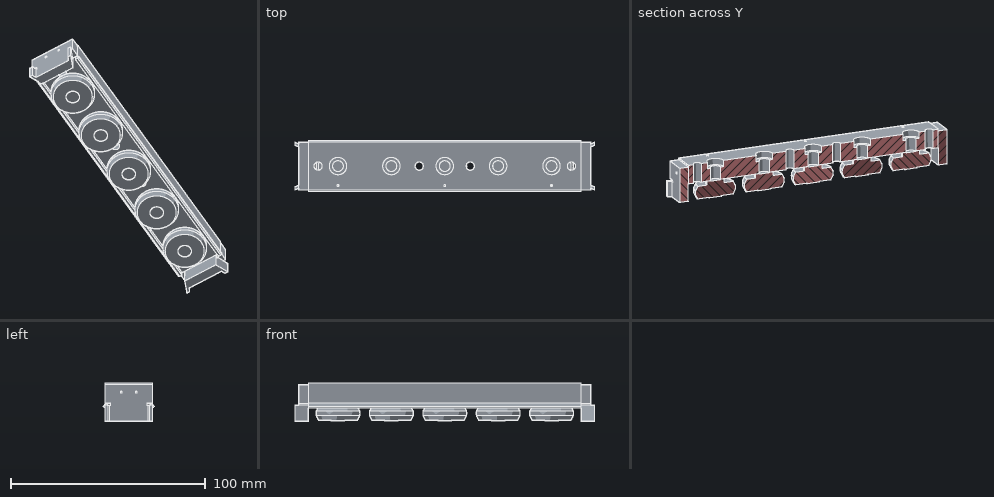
import cadquery as cq

LENGTH = 154.0
WIDTH = 26.3
TOP_Z = 19.7

BODY_LENGTH = 140.1
BODY_WIDTH = 24.6
BODY_BOTTOM_Z = 9.4
ROLLER_PITCH = 27.4
ROLLER_COUNT = 5
STUD_HOLE_DIAMETER = 5.5
COUNTERBORE_DIAMETER = 9.0
COUNTERBORE_DEPTH = 3.4
MOUNT_HOLE_DIAMETER = 4.2
INNER_MOUNT_X = 13.1
OUTER_MOUNT_X = 65.0
SMALL_HOLE_DIAMETER = 1.0
OIL_HOLE_Y = -10.0
OIL_HOLE_DEPTH = 3.1

RIM_RADIUS = 11.2
RIM_BULGE = 0.08
RIM_TOP_Z = 5.2
RIM_BOTTOM_Z = 3.0
ROLLER_FACE_RADIUS = 10.0
ROLLER_TOP_Z = 7.5
ROLLER_BOTTOM_Z = 0.5
HUB_DIAMETER = 10.0
STUD_END_DIAMETER = 7.0
STUD_END_Z = 0.2

SEAL_INNER_Y = 11.0
SEAL_TOP_OUTER_Y = 11.5
SEAL_TIP_Y = WIDTH / 2
SEAL_TIP_Z = 7.7
SEAL_BOTTOM_OUTER_Y = 12.3
SEAL_BOTTOM_Z = 6.8

CAP_THICKNESS = 5.0
CAP_TOP_Z = 18.8
CAP_NECK_HALF_WIDTH = 9.4
CAP_SLOT_TOP_Z = 9.2
CAP_SLOT_BOTTOM_Z = 8.3
WIPER_THICKNESS = 1.7
CAP_HOLE_Y = 3.8
CAP_HOLE_Z = 15.0

BODY_END_X = BODY_LENGTH / 2
ROLLER_XS = [ROLLER_PITCH * (i - (ROLLER_COUNT - 1) / 2) for i in range(ROLLER_COUNT)]


def make_body():
    """Bar with counterbored stud holes, through mounting holes and blind oil holes."""
    body = (
        cq.Workplane("XY")
        .workplane(offset=BODY_BOTTOM_Z)
        .rect(BODY_LENGTH, BODY_WIDTH)
        .extrude(TOP_Z - BODY_BOTTOM_Z)
    )
    top = cq.Workplane("XY").workplane(offset=TOP_Z)
    body_height = TOP_Z - BODY_BOTTOM_Z

    roller_points = [(x, 0) for x in ROLLER_XS]
    stud_holes = top.pushPoints(roller_points).circle(STUD_HOLE_DIAMETER / 2).extrude(-body_height)
    counterbores = top.pushPoints(roller_points).circle(COUNTERBORE_DIAMETER / 2).extrude(-COUNTERBORE_DEPTH)

    mount_points = [(side * x, 0) for side in (-1, 1) for x in (INNER_MOUNT_X, OUTER_MOUNT_X)]
    mount_holes = top.pushPoints(mount_points).circle(MOUNT_HOLE_DIAMETER / 2).extrude(-body_height)

    oil_points = [(x, OIL_HOLE_Y) for x in ROLLER_XS[::2]]
    oil_holes = top.pushPoints(oil_points).circle(SMALL_HOLE_DIAMETER / 2).extrude(-OIL_HOLE_DEPTH)
    return body.cut(stud_holes).cut(counterbores).cut(mount_holes).cut(oil_holes)


def make_roller(x):
    """Crowned roller whose hub closes the stud hole from below the body."""
    rim_middle = (RIM_RADIUS + RIM_BULGE, (RIM_TOP_Z + RIM_BOTTOM_Z) / 2)
    return (
        cq.Workplane("XZ")
        .moveTo(0, STUD_END_Z)
        .lineTo(STUD_END_DIAMETER / 2, STUD_END_Z)
        .lineTo(STUD_END_DIAMETER / 2, ROLLER_BOTTOM_Z)
        .lineTo(ROLLER_FACE_RADIUS, ROLLER_BOTTOM_Z)
        .lineTo(RIM_RADIUS, RIM_BOTTOM_Z)
        .threePointArc(rim_middle, (RIM_RADIUS, RIM_TOP_Z))
        .lineTo(ROLLER_FACE_RADIUS, ROLLER_TOP_Z)
        .lineTo(HUB_DIAMETER / 2, ROLLER_TOP_Z)
        .lineTo(HUB_DIAMETER / 2, BODY_BOTTOM_Z)
        .lineTo(0, BODY_BOTTOM_Z)
        .close()
        .revolve(360, (0, 0, 0), (0, 1, 0))
        .translate((x, 0, 0))
    )


def make_seal(side):
    """Long strip under one edge of the body with a pointed outer lip; side is the sign of Y."""
    profile = [
        (SEAL_INNER_Y, BODY_BOTTOM_Z),
        (SEAL_TOP_OUTER_Y, BODY_BOTTOM_Z),
        (SEAL_TIP_Y, SEAL_TIP_Z),
        (SEAL_BOTTOM_OUTER_Y, SEAL_BOTTOM_Z),
        (SEAL_INNER_Y, SEAL_BOTTOM_Z),
    ]
    points = [(side * y, z) for y, z in profile]
    return cq.Workplane("YZ").polyline(points).close().extrude(BODY_END_X, both=True)


def make_cap_block(width, bottom_z, top_z):
    """Rectangular layer of an end cap, standing against the +X end of the body."""
    block = cq.Workplane("XY").box(CAP_THICKNESS, width, top_z - bottom_z, centered=(False, True, False))
    return block.translate((BODY_END_X, 0, bottom_z))


def make_end_cap(side):
    """Cap with a slot at each edge and slanted wiper wings below; side is the sign of X."""
    cap_face_x = BODY_END_X + CAP_THICKNESS
    tip_x = LENGTH / 2
    tip_y = BODY_WIDTH / 2
    wing_slope = (tip_y - CAP_NECK_HALF_WIDTH) / (tip_x - BODY_END_X)
    wing_tip_inner_y = tip_y - WIPER_THICKNESS
    wing_root_inner_y = wing_tip_inner_y - wing_slope * (tip_x - cap_face_x)

    upper = make_cap_block(BODY_WIDTH, CAP_SLOT_TOP_Z, CAP_TOP_Z)
    neck = make_cap_block(2 * CAP_NECK_HALF_WIDTH, CAP_SLOT_BOTTOM_Z, CAP_SLOT_TOP_Z)

    half_plan = [
        (BODY_END_X, CAP_NECK_HALF_WIDTH),
        (tip_x, tip_y),
        (tip_x, wing_tip_inner_y),
        (cap_face_x, wing_root_inner_y),
    ]
    mirrored_plan = [(x, -y) for x, y in reversed(half_plan)]
    lower = cq.Workplane("XY").polyline(half_plan + mirrored_plan).close().extrude(CAP_SLOT_BOTTOM_Z)

    holes = (
        cq.Workplane("YZ")
        .workplane(offset=BODY_END_X)
        .pushPoints([(-CAP_HOLE_Y, CAP_HOLE_Z), (CAP_HOLE_Y, CAP_HOLE_Z)])
        .circle(SMALL_HOLE_DIAMETER / 2)
        .extrude(CAP_THICKNESS)
    )
    cap = upper.union(neck).union(lower).cut(holes)
    return cap if side > 0 else cap.mirror("YZ")


body = make_body()
rollers = [make_roller(x) for x in ROLLER_XS]
seals = [make_seal(side) for side in (-1, 1)]
end_caps = [make_end_cap(side) for side in (-1, 1)]

result = cq.Compound.makeCompound(
    [
        body.val(),
        *[roller.val() for roller in rollers],
        *[seal.val() for seal in seals],
        *[end_cap.val() for end_cap in end_caps],
    ]
)